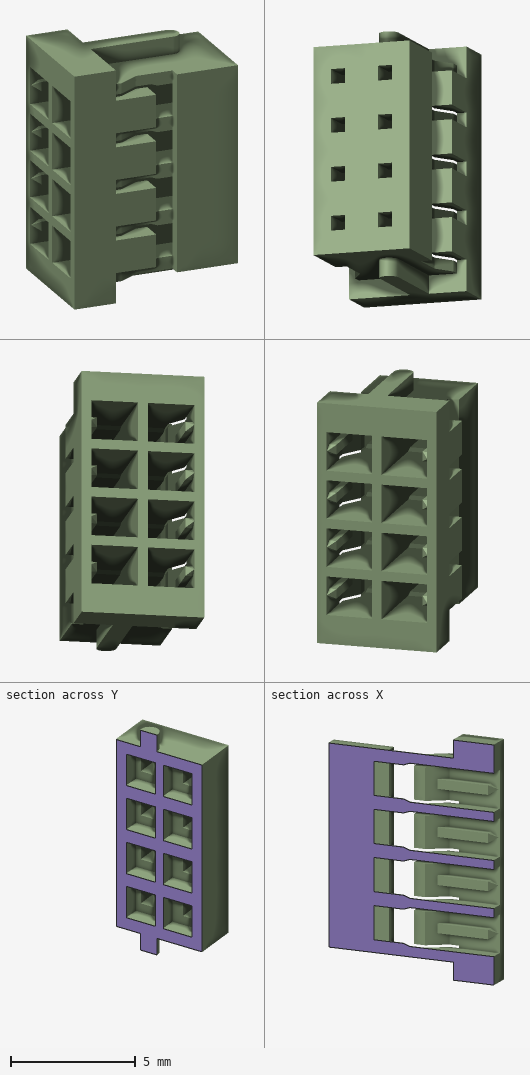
import cadquery as cq

flange_width = 5.0
flange_height = 10.0
flange_depth = 1.8
body_depth = 7.3
body_height = 8.5
rear_width = 4.1
rear_start = 4.65
neck_half_width = 1.58
taper_start = 2.22
taper_end = 3.05

key_center_x = -0.5
key_width = 0.8
key_end = 5.8

rows = 4
row_pitch = 2.0
cell_inner_x = 0.2
cell_outer_x = 2.1
cell_height = 1.6
narrow_height = 1.4
narrowing_start = 3.72
narrowing_end = 4.0
pocket_floor_outer_x = 1.52
pocket_end = 6.0
pin_hole_x = 1.0
pin_hole_size = 0.6

tongue_end = 3.55
barb_x = 1.8
barb_width = 0.4
barb_tip = 0.05
barb_start = 0.38
barb_end = 2.6


def block(x_range, y_range, z_center, height):
    """Box over an X range and a Y range, centred on a height."""
    x0, x1 = x_range
    y0, y1 = y_range
    corner = (x0, y0, z_center - height / 2)
    return cq.Workplane("XY").box(x1 - x0, y1 - y0, height, centered=False).translate(corner)


def plate(points, z_center, height):
    """Prism with an outline in XY, centred on a height."""
    base = cq.Workplane("XY").workplane(offset=z_center - height / 2)
    return base.polyline(points).close().extrude(height)


def make_flange():
    half = flange_width / 2
    return block((-half, half), (0, flange_depth), 0, flange_height)


def make_neck_and_rear():
    half_outline = [
        (cell_outer_x, 0),
        (cell_outer_x, taper_start),
        (neck_half_width, taper_end),
        (neck_half_width, rear_start),
        (rear_width / 2, rear_start),
        (rear_width / 2, body_depth),
    ]
    mirrored = [(-x, y) for x, y in reversed(half_outline)]
    return plate(half_outline + mirrored, 0, body_height)


def make_keys():
    """Round-ended rib, as tall as the flange, standing out above and below the body."""
    radius = key_width / 2
    return (
        cq.Workplane("XY")
        .workplane(offset=-flange_height / 2)
        .moveTo(key_center_x - radius, 0)
        .lineTo(key_center_x - radius, key_end - radius)
        .threePointArc((key_center_x, key_end), (key_center_x + radius, key_end - radius))
        .lineTo(key_center_x + radius, 0)
        .close()
        .extrude(flange_height)
    )


def make_cavity(z):
    """Empty space of one right-hand cell: open bore, rear pocket and pin hole."""
    wide = cell_height / 2
    narrow = narrow_height / 2
    side_outline = [
        (0, z - wide),
        (narrowing_start, z - wide),
        (narrowing_end, z - narrow),
        (rear_start, z - narrow),
        (rear_start, z + narrow),
        (narrowing_end, z + narrow),
        (narrowing_start, z + wide),
        (0, z + wide),
    ]
    bore = (
        cq.Workplane("YZ")
        .workplane(offset=cell_inner_x)
        .polyline(side_outline)
        .close()
        .extrude(cell_outer_x - cell_inner_x)
    )
    pocket_outline = [
        (cell_inner_x, rear_start),
        (neck_half_width, rear_start),
        (pocket_floor_outer_x, pocket_end),
        (cell_inner_x, pocket_end),
    ]
    pocket = plate(pocket_outline, z, narrow_height)
    half_hole = pin_hole_size / 2
    pin_hole = block((pin_hole_x - half_hole, pin_hole_x + half_hole), (0, body_depth), z, pin_hole_size)
    return bore.union(pocket).union(pin_hole)


def make_tongue(z):
    """Latch tongue rooted in the flange, leaning inward along the neck taper."""
    outline = [
        (flange_width / 2, 0),
        (flange_width / 2, tongue_end),
        (neck_half_width, tongue_end),
        (neck_half_width, taper_end),
        (cell_outer_x, taper_start),
        (cell_outer_x, 0),
    ]
    return plate(outline, z, narrow_height)


def make_barb(z):
    """Ridge on the tongue's inner face, ending at the front in a four-sided point."""
    wall_x = flange_width / 2
    ridge = block((barb_x, wall_x), (barb_start, barb_end), z, barb_width)
    bottom = z - barb_width / 2
    top = z + barb_width / 2
    base = [
        cq.Vector(barb_x, barb_start, bottom),
        cq.Vector(cell_outer_x, barb_start, bottom),
        cq.Vector(cell_outer_x, barb_start, top),
        cq.Vector(barb_x, barb_start, top),
    ]
    tip = cq.Vector(cell_outer_x, barb_tip, z)
    faces = [cq.Face.makeFromWires(cq.Wire.makePolygon(base, close=True))]
    for start, end in zip(base, base[1:] + base[:1]):
        side = cq.Wire.makePolygon([start, end, tip], close=True)
        faces.append(cq.Face.makeFromWires(side))
    point = cq.Solid.makeSolid(cq.Shell.makeShell(faces))
    return ridge.union(cq.Workplane(point))


def both_sides(shape):
    """A right-hand shape together with its mirror image on the left."""
    return shape.union(shape.mirror("YZ"))


result = make_flange().union(make_neck_and_rear()).union(make_keys())
for row in range(rows):
    row_z = (row - (rows - 1) / 2) * row_pitch
    result = result.cut(both_sides(make_cavity(row_z)))
    result = result.union(both_sides(make_tongue(row_z).union(make_barb(row_z))))